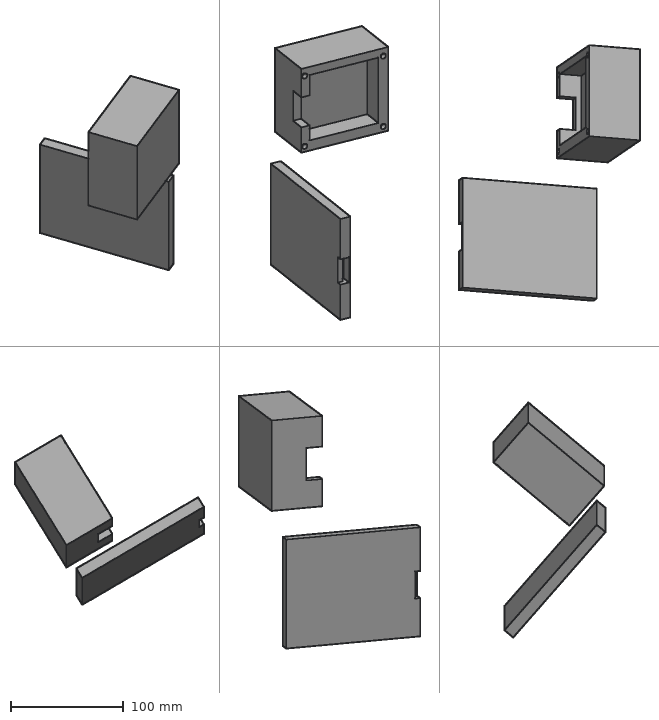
import cadquery as cq

total_height = 207.8

panel_length = 126.0
panel_thickness = 10.2
panel_height = 100.2
panel_notch_bottom = 35.1
panel_notch_height = 25.0
panel_notch_width = 8.7
panel_notch_depth = 4.8
panel_step = 4.8
panel_slot_depth = 2 * panel_notch_depth

housing_left = 88.5
housing_depth = 47.5
housing_width = 88.5
housing_height = 83.1
housing_bottom = total_height - housing_height
housing_back = housing_width

cavity_depth = 20.0
wall_top = 8.0
wall_bottom = 10.2
wall_back = 8.3
wall_front = 10.2

opening_depth = 15.0
opening_height = 29.7
opening_from_top = 28.3

dimple_radius = 2.5
dimple_from_front = 5.0
dimple_from_back = 3.5
dimple_from_top = 7.9
dimple_from_bottom = 5.5


def block(x, y, z, length, width, height):
    """Box whose lowest corner is at (x, y, z)."""
    return cq.Workplane("XY").box(length, width, height, centered=False).translate((x, y, z))


def make_panel():
    panel_back = housing_back + panel_thickness
    notch_front = panel_back - panel_notch_width
    panel = block(0, housing_back, 0, panel_length, panel_thickness, panel_height)
    notch = block(
        0, notch_front, panel_notch_bottom,
        panel_notch_depth, panel_notch_width, panel_notch_height,
    )
    slot = block(
        0, notch_front, panel_notch_bottom,
        panel_slot_depth, panel_notch_width - panel_step, panel_notch_height,
    )
    return panel.cut(notch).cut(slot)


def make_dimple(y, z):
    """Half ball with its centre on the rim, bulging toward +X."""
    rim_centre = cq.Vector(housing_left, y, z)
    return cq.Solid.makeSphere(dimple_radius, rim_centre, cq.Vector(1, 0, 0), 0, 90, 360)


def make_housing():
    housing = block(
        housing_left, 0, housing_bottom, housing_depth, housing_width, housing_height
    )
    cavity = block(
        housing_left, wall_front, housing_bottom + wall_bottom,
        cavity_depth,
        housing_width - wall_front - wall_back,
        housing_height - wall_bottom - wall_top,
    )
    opening = block(
        housing_left, housing_back - wall_back, total_height - opening_from_top - opening_height,
        opening_depth, wall_back, opening_height,
    )
    housing = housing.cut(cavity).cut(opening)
    for y in (dimple_from_front, housing_back - dimple_from_back):
        for z in (housing_bottom + dimple_from_bottom, total_height - dimple_from_top):
            housing = housing.cut(cq.Workplane(make_dimple(y, z)))
    return housing


panel = make_panel()
housing = make_housing()
result = cq.Compound.makeCompound([panel.val(), housing.val()])